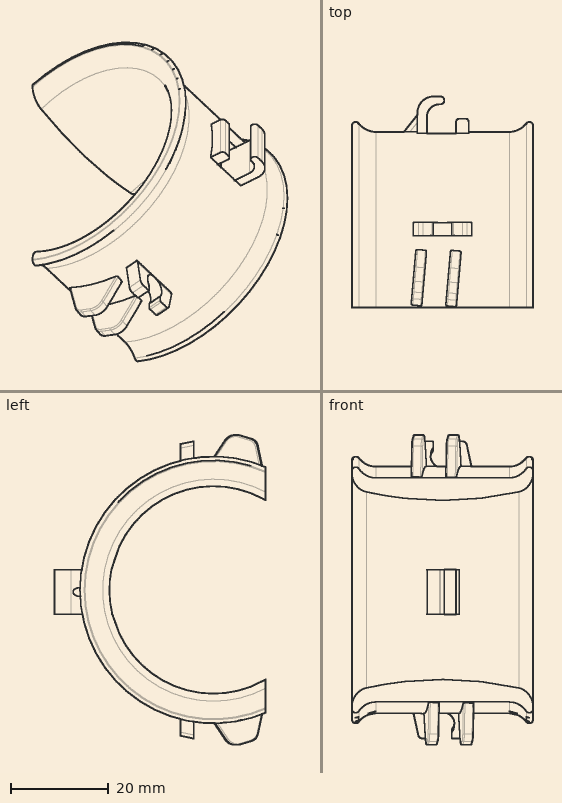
import cadquery as cq
import math


ring_width = 37.2
outer_radius = 25.35
rim_radius = 27.38
rim_tip_radius = 0.8
outside_half_width = 13.7
throat_radius = 21.25
bore_end_radius = 22.77
bore_half_width = 15.63
opening_y = -10.7

hook_length = 9.15
hook_center_z = -0.42
hook_left_x = -5.17
hook_thickness = 2.0
hook_tip_x = 0.39
hook_top_y = 32.62
hook_tip_thickness = 1.67
hook_outer_bend = 3.4
hook_inner_bend = 2.5
post_left_x = 2.76
post_right_x = 5.4
post_top_y = 28.05
post_corner_radius = 0.7
window_right_x = 3.45
root_y = 24.0

strut_width = 1.8
strut_top_y = 28.8
strut_angle = 51.5
strut_depth = 2.6

clip_half_base = 5.97
clip_base_z = 25.35
clip_half_top = 4.85
clip_top_z = 30.4
clip_root_z = 24.0
clip_corner_radius = 1.0
clip_mouth_half = 1.87
clip_lip_radius = 0.3
pin_radius = 2.45
pin_center_z = 27.53
clip_front_y = 4.03
clip_back_y = 6.8
clip_tilt = 11.7

fin_thickness = 2.2
fin_edge_radius = 0.3
fin_angle = 5.0
fin_x = -4.45
fin_spacing = 7.1
fin_stagger = 0.17
fin_back_foot = (2.82, 22.8)
fin_back_corner = (-3.5, 32.25)
fin_front_corner = (-8.7, 30.68)
fin_front_foot = (-10.38, 22.8)
fin_back_bend = 2.6
fin_front_bend = 2.0


def rim_geometry():
    """Center of the rim tip, and the flare radius tangent to both the tip and the outside."""
    tip_x = ring_width / 2 - rim_tip_radius
    tip_z = rim_radius - rim_tip_radius
    run = tip_x - outside_half_width
    rise = tip_z - outer_radius
    flare_radius = (run**2 + rise**2 - rim_tip_radius**2) / (2 * (rise + rim_tip_radius))
    return tip_x, tip_z, flare_radius


def arc_point(center, radius, degrees):
    angle = math.radians(degrees)
    return (center[0] + radius * math.cos(angle), center[1] + radius * math.sin(angle))


def mirrored(point):
    return (-point[0], point[1])


def make_ring():
    tip_x, tip_z, flare_radius = rim_geometry()
    tip_center = (tip_x, tip_z)
    flare_center = (outside_half_width, outer_radius + flare_radius)

    touch_angle = math.degrees(
        math.atan2(tip_z - flare_center[1], tip_x - flare_center[0])
    )
    flare_start = (outside_half_width, outer_radius)
    flare_mid = arc_point(flare_center, flare_radius, (touch_angle - 90) / 2)
    flare_end = arc_point(flare_center, flare_radius, touch_angle)
    tip_mid = arc_point(tip_center, rim_tip_radius, (touch_angle + 180) / 2)
    tip_end = (ring_width / 2, tip_z)

    crown_rise = bore_end_radius - throat_radius
    crown_radius = (bore_half_width**2 + crown_rise**2) / (2 * crown_rise)
    crown_angle = math.degrees(math.asin(bore_half_width / crown_radius))
    lead_in = ring_width / 2 - bore_half_width
    lead_in_radius = lead_in / (1 - math.sin(math.radians(crown_angle)))
    lead_in_center = (
        ring_width / 2 - lead_in_radius,
        bore_end_radius + lead_in_radius * math.cos(math.radians(crown_angle)),
    )
    bore_end = (bore_half_width, bore_end_radius)
    lead_in_mid = arc_point(lead_in_center, lead_in_radius, (crown_angle - 90) / 2)
    lead_in_end = (ring_width / 2, lead_in_center[1])

    section = (
        cq.Workplane("XZ")
        .moveTo(*mirrored(flare_start))
        .lineTo(*flare_start)
        .threePointArc(flare_mid, flare_end)
        .threePointArc(tip_mid, tip_end)
        .lineTo(*lead_in_end)
        .threePointArc(lead_in_mid, bore_end)
        .threePointArc((0, throat_radius), mirrored(bore_end))
        .threePointArc(mirrored(lead_in_mid), mirrored(lead_in_end))
        .lineTo(*mirrored(tip_end))
        .threePointArc(mirrored(tip_mid), mirrored(flare_end))
        .threePointArc(mirrored(flare_mid), mirrored(flare_start))
        .close()
    )
    ring = section.revolve(360, (0, 0, 0), (1, 0, 0))
    opening = cq.Workplane("XY").box(
        2 * ring_width, 2 * rim_radius, 4 * rim_radius, centered=(True, False, True)
    )
    return ring.cut(opening.translate((0, opening_y - 2 * rim_radius, 0)))


def hook_plane():
    return cq.Workplane("XY", origin=(0, 0, hook_center_z))


def make_window():
    left = hook_left_x + hook_thickness
    return (
        hook_plane()
        .moveTo(left, 0)
        .lineTo(window_right_x, 0)
        .lineTo(window_right_x, rim_radius)
        .lineTo(left, rim_radius)
        .close()
        .extrude(hook_length / 2, both=True)
    )


def make_hook():
    inner_x = hook_left_x + hook_thickness
    inner_y = hook_top_y - hook_tip_thickness
    outer_bend_center = (hook_left_x + hook_outer_bend, hook_top_y - hook_outer_bend)
    inner_bend_center = (inner_x + hook_inner_bend, inner_y - hook_inner_bend)
    tip_center_x = hook_tip_x - hook_tip_thickness / 2
    return (
        hook_plane()
        .moveTo(hook_left_x, root_y)
        .lineTo(hook_left_x, outer_bend_center[1])
        .threePointArc(
            arc_point(outer_bend_center, hook_outer_bend, 135),
            (outer_bend_center[0], hook_top_y),
        )
        .lineTo(tip_center_x, hook_top_y)
        .threePointArc((hook_tip_x, (hook_top_y + inner_y) / 2), (tip_center_x, inner_y))
        .lineTo(inner_bend_center[0], inner_y)
        .threePointArc(
            arc_point(inner_bend_center, hook_inner_bend, 135),
            (inner_x, inner_bend_center[1]),
        )
        .lineTo(inner_x, root_y)
        .close()
        .extrude(hook_length / 2, both=True)
    )


def make_post():
    return (
        hook_plane()
        .moveTo(post_left_x, root_y)
        .lineTo(post_right_x, root_y)
        .lineTo(post_right_x, post_top_y)
        .lineTo(post_left_x, post_top_y)
        .close()
        .extrude(hook_length / 2, both=True)
        .edges("|Z and >Y")
        .fillet(post_corner_radius)
    )


def make_strut():
    """Sloped bar with a half-round nose, leaning on the back of the hook."""
    reach = 2 * (strut_top_y - root_y)
    nose_radius = strut_width / 2
    bar = cq.Workplane("XY").box(
        reach, strut_depth - nose_radius, strut_width, centered=(True, False, True)
    )
    bar = bar.translate((0, -strut_depth, 0))
    nose = (
        cq.Workplane("YZ", origin=(-reach / 2, -nose_radius, 0))
        .circle(nose_radius)
        .extrude(reach)
    )
    strut = (
        bar.union(nose)
        .rotate((0, 0, 0), (0, 0, 1), strut_angle)
        .translate((hook_left_x, strut_top_y, hook_center_z))
    )
    keep = cq.Workplane("XY").box(
        reach, strut_top_y - root_y, strut_width, centered=(False, False, True)
    )
    keep_left_x = hook_left_x + hook_thickness / 2 - reach
    return strut.intersect(keep.translate((keep_left_x, root_y, hook_center_z)))


def make_pin_clip():
    flank_slope = (clip_half_base - clip_half_top) / (clip_top_z - clip_base_z)
    half_root = clip_half_base + flank_slope * (clip_base_z - clip_root_z)
    thickness = clip_back_y - clip_front_y
    blank = (
        cq.Workplane("XZ")
        .polyline(
            [
                (-half_root, clip_root_z),
                (half_root, clip_root_z),
                (clip_half_top, clip_top_z),
                (-clip_half_top, clip_top_z),
            ]
        )
        .close()
        .extrude(thickness, both=True)
        .edges("|Y and >Z")
        .fillet(clip_corner_radius)
    )
    pin_hole = (
        cq.Workplane("XZ").center(0, pin_center_z).circle(pin_radius).extrude(thickness, both=True)
    )
    mouth = (
        cq.Workplane("XZ")
        .center(0, (pin_center_z + clip_top_z) / 2)
        .rect(2 * clip_mouth_half, clip_top_z - pin_center_z)
        .extrude(thickness, both=True)
    )
    clip = blank.cut(pin_hole).cut(mouth)
    lip_zone = cq.selectors.BoxSelector(
        (-clip_mouth_half - clip_lip_radius, -2 * thickness, clip_top_z - clip_lip_radius),
        (clip_mouth_half + clip_lip_radius, 2 * thickness, clip_top_z + clip_lip_radius),
    )
    clip = clip.edges(lip_zone).edges("|Y").fillet(clip_lip_radius)

    clip = clip.rotate((0, 0, clip_base_z), (1, 0, clip_base_z), -clip_tilt)
    clip = clip.translate((0, clip_front_y, 0))
    trim = cq.Workplane("XY").box(
        ring_width, thickness, 2 * rim_radius, centered=(True, False, False)
    )
    return clip.intersect(trim.translate((0, clip_front_y, 0)))


def make_fin(x, y):
    fin = (
        cq.Workplane("YZ")
        .polyline([fin_back_foot, fin_back_corner, fin_front_corner, fin_front_foot])
        .close()
        .extrude(fin_thickness / 2, both=True)
    )
    fin = fin.edges("|X").edges(">Z").fillet(fin_back_bend)
    front_zone = cq.selectors.NearestToPointSelector((0, *fin_front_corner))
    fin = fin.edges("|X").edges(front_zone).fillet(fin_front_bend)
    fin = fin.faces("<X or >X").edges("not <Z").fillet(fin_edge_radius)
    return fin.rotate((0, 0, 0), (0, 0, 1), -fin_angle).translate((x, y, 0))


def make_side_features():
    """Pin clip and fin pair on the +Z side."""
    features = [make_pin_clip()]
    for index in range(2):
        features.append(make_fin(fin_x + index * fin_spacing, -index * fin_stagger))
    return features


ring = make_ring().cut(make_window())
result = ring.union(make_hook()).union(make_post()).union(make_strut())

for turn in (0, 180):
    for feature in make_side_features():
        result = result.union(feature.rotate((0, 0, 0), (0, 1, 0), turn))